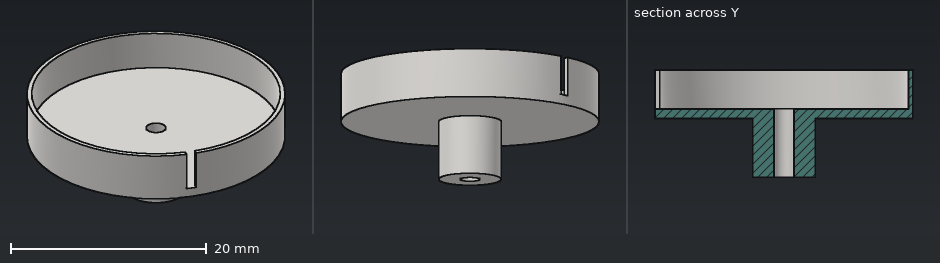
import cadquery as cq

tray_diameter = 26.4
tray_height = 5.0
wall_thickness = 0.5
floor_thickness = 1.0

stem_diameter = 6.4
stem_length = 6.0
bore_diameter = 2.0

gap_width = 1.0

tray_radius = tray_diameter / 2
inner_diameter = tray_diameter - 2 * wall_thickness
wall_height = tray_height - floor_thickness
total_height = stem_length + tray_height


def cylinder(diameter, height, base_z):
    """Upright cylinder on the Z axis, starting at base_z."""
    return cq.Workplane("XY").workplane(offset=base_z).circle(diameter / 2).extrude(height)


def make_tray():
    """Shallow cup whose underside lies at Z = 0."""
    body = cylinder(tray_diameter, tray_height, 0)
    return body.cut(cylinder(inner_diameter, wall_height, floor_thickness))


def make_wall_gap():
    """Block that opens the wall from the rim down to the floor."""
    return (
        cq.Workplane("XY")
        .workplane(offset=floor_thickness)
        .center(tray_radius, 0)
        .rect(tray_radius, gap_width)
        .extrude(wall_height)
    )


stem = cylinder(stem_diameter, stem_length, -stem_length)
bore = cylinder(bore_diameter, total_height, -stem_length)

result = make_tray().union(stem).cut(bore).cut(make_wall_gap())